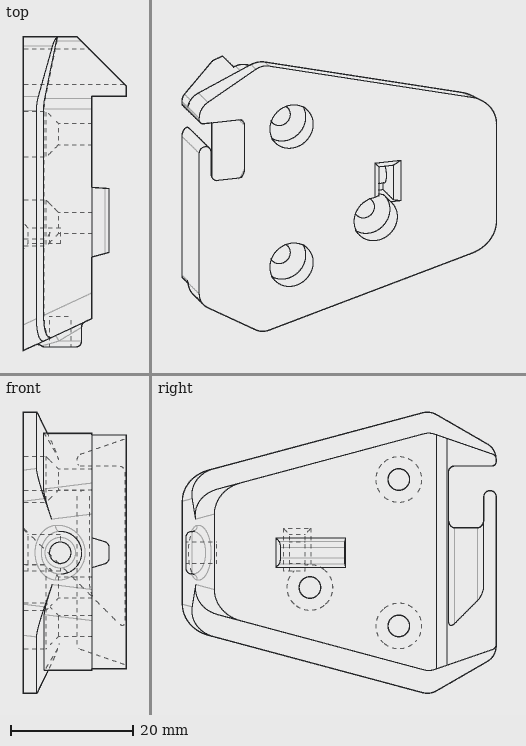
import cadquery as cq
import math


LENGTH = 51.48
TOTAL_THICKNESS = 16.95
BODY_THICKNESS = 11.3
SIDE_ANGLE = 15.0
FRONT_ANGLE = 25.0
FRONT_CORNER_RADIUS = 5.0
SHOULDER_CORNER_RADIUS = 3.0

FLANGE_HALF_HEIGHT = 23.055
FLANGE_SHOULDER_Y = 40.6
FLANGE_REAR_ANGLE = 30.0
FLANGE_REAR_RADIUS = 3.0
FLANGE_EDGE_THICKNESS = 2.2
FLANGE_SLOPE = 19.0

BODY_HALF_HEIGHT = 19.45
BODY_SHOULDER_Y = 40.5
BODY_CENTRE_Z = 0.15
BODY_REAR_ANGLE = 19.0
BODY_REAR_RADIUS = 1.0

HOOK_FRONT_Y = 41.7
HOOK_TIP_LENGTH = 1.7
HOOK_CHAMFER_ANGLE = 45.0

PIN_X = 6.1
PIN_DIAMETER = 7.0
PIN_END_Y = 0.6
PIN_EDGE_RADIUS = 1.0
PIN_BASE_RADIUS = 1.0
PIN_ROOT_Y = 8.0
PIN_BORE_DIAMETER = 3.5
PIN_BORE_DEPTH = 5.0

RIB_FRONT_Y = 15.35
RIB_REAR_Y = 26.8
RIB_HALF_HEIGHT = 2.45
RIB_RISE = 2.8
RIB_SIDE_ANGLE = 17.0
RIB_FRONT_ANGLE = 15.0
RIB_REAR_ANGLE = 4.0
RIB_EDGE_RADIUS = 1.0

SCREW_POSITIONS = [(35.5, 12.0), (35.5, -12.0), (20.93, -5.7)]
SCREW_DIAMETER = 3.5
SCREW_HEAD_DIAMETER = 7.5
SCREW_HEAD_DEPTH = 3.8
SCREW_CONE_ANGLE = 90.0

NOTCH_FRONT_Y = 43.65
NOTCH_BOTTOM_Z = 4.1
NOTCH_TOP_Z = 14.2
NOTCH_FLOOR_ANGLE = 45.0
NOTCH_CORNER_RADIUS = 1.0
NOTCH_LIP_RADIUS = 0.75
FINGER_WIDTH = 2.06
FINGER_TOP_Z = 10.2

SLOT_FRONT_Y = 17.6
SLOT_REAR_Y = 20.1
SLOT_BOTTOM_Z = -3.0
SLOT_TOP_Z = 3.0
SLOT_CHAMFER = 1.0
SLOT_CHAMFER_DEPTH = 0.8
SLOT_DEPTH = PIN_X
SLOT_BAR_DIAMETER = 3.5

CUT_MARGIN = 1.0
PICK_MARGIN = 0.1


def tan_deg(angle):
    return math.tan(math.radians(angle))


def cos_deg(angle):
    return math.cos(math.radians(angle))


def box_between(low, high):
    """Axis-parallel box between two opposite corners."""
    size = [b - a for a, b in zip(low, high)]
    return cq.Workplane("XY").box(*size, centered=False).translate(low)


def sharp_half_height(half_height, rear_angle):
    """Z of the sharp shoulder corner whose rounded top lies at half_height."""
    half_turn = (SIDE_ANGLE + rear_angle) / 2
    centre_drop = SHOULDER_CORNER_RADIUS * cos_deg((rear_angle - SIDE_ANGLE) / 2) / cos_deg(half_turn)
    return half_height + centre_drop - SHOULDER_CORNER_RADIUS


def front_wedge():
    """Material in front of the leaning front face."""
    lean = TOTAL_THICKNESS * tan_deg(FRONT_ANGLE)
    return (
        cq.Workplane("XY")
        .polyline([(0, 0), (TOTAL_THICKNESS, lean), (TOTAL_THICKNESS, -CUT_MARGIN), (0, -CUT_MARGIN)])
        .close()
        .extrude(FLANGE_HALF_HEIGHT + CUT_MARGIN, both=True)
    )


def rounded_prism(shoulder_y, half_height, rear_angle, rear_radius, thickness):
    """Six-sided prism along X with a leaning front face and rounded corners."""
    shoulder_z = sharp_half_height(half_height, rear_angle)
    front_z = shoulder_z - shoulder_y * tan_deg(SIDE_ANGLE)
    rear_z = shoulder_z - (LENGTH - shoulder_y) * tan_deg(rear_angle)
    upper = [(0, front_z), (shoulder_y, shoulder_z), (LENGTH, rear_z)]
    lower = [(y, -z) for y, z in reversed(upper)]
    prism = cq.Workplane("YZ").polyline(upper + lower).close().extrude(thickness)
    prism = prism.edges("|X and >Y").fillet(rear_radius)
    prism = prism.edges("|X and (>Z or <Z)").fillet(SHOULDER_CORNER_RADIUS)
    prism = prism.cut(front_wedge())
    lean = tan_deg(FRONT_ANGLE)
    for side in (1, -1):
        corner_direction = cq.Vector(1, lean, side * lean * tan_deg(SIDE_ANGLE))
        corner = cq.selectors.ParallelDirSelector(corner_direction)
        prism = prism.edges(corner).fillet(FRONT_CORNER_RADIUS)
    return prism


def flange_relief(side):
    """Space above the sloping flange surface that rises from one long side."""
    shoulder_z = sharp_half_height(FLANGE_HALF_HEIGHT, FLANGE_REAR_ANGLE)
    inward = shoulder_z * 2
    top = FLANGE_EDGE_THICKNESS + inward * tan_deg(FLANGE_SLOPE)
    profile = [
        (FLANGE_EDGE_THICKNESS, 0),
        (top, -inward),
        (top, CUT_MARGIN),
        (FLANGE_EDGE_THICKNESS, CUT_MARGIN),
    ]
    relief = (
        cq.Workplane("XZ")
        .polyline(profile)
        .close()
        .extrude(2 * LENGTH, both=True)
        .rotate((0, 0, 0), (1, 0, 0), SIDE_ANGLE)
        .translate((0, FLANGE_SHOULDER_Y, shoulder_z))
    )
    return relief if side > 0 else relief.mirror("XY")


def flange():
    prism = rounded_prism(
        FLANGE_SHOULDER_Y, FLANGE_HALF_HEIGHT, FLANGE_REAR_ANGLE, FLANGE_REAR_RADIUS, BODY_THICKNESS
    )
    return prism.cut(flange_relief(1)).cut(flange_relief(-1))


def body_with_hook():
    prism = rounded_prism(
        BODY_SHOULDER_Y, BODY_HALF_HEIGHT, BODY_REAR_ANGLE, BODY_REAR_RADIUS, TOTAL_THICKNESS
    ).translate((0, 0, BODY_CENTRE_Z))
    above_body = box_between(
        (BODY_THICKNESS, 0, -FLANGE_HALF_HEIGHT),
        (TOTAL_THICKNESS, HOOK_FRONT_Y, FLANGE_HALF_HEIGHT),
    )
    return prism.cut(above_body)


def hook_chamfer():
    """Material behind the slope that runs from the hook tip to the rear edge."""
    start_y = HOOK_FRONT_Y + HOOK_TIP_LENGTH
    drop = (LENGTH - start_y) * tan_deg(HOOK_CHAMFER_ANGLE)
    return (
        cq.Workplane("XY")
        .polyline([
            (TOTAL_THICKNESS, start_y),
            (TOTAL_THICKNESS, LENGTH),
            (TOTAL_THICKNESS - drop, LENGTH),
        ])
        .close()
        .extrude(FLANGE_HALF_HEIGHT, both=True)
    )


def add_pin(part):
    pin = (
        cq.Workplane("XZ", origin=(PIN_X, PIN_ROOT_Y, 0))
        .circle(PIN_DIAMETER / 2)
        .extrude(PIN_ROOT_Y - PIN_END_Y)
        .faces("<Y")
        .edges()
        .fillet(PIN_EDGE_RADIUS)
    )
    part = part.union(pin)
    reach = PIN_DIAMETER / 2 + PICK_MARGIN
    pin_edges = cq.selectors.BoxSelector(
        (PIN_X - reach, PIN_END_Y + PICK_MARGIN, -reach),
        (PIN_X + reach, PIN_ROOT_Y, reach),
        boundingbox=True,
    )
    part = part.edges(pin_edges).fillet(PIN_BASE_RADIUS)
    bore = (
        cq.Workplane("XZ", origin=(PIN_X, PIN_END_Y + PIN_BORE_DEPTH, 0))
        .circle(PIN_BORE_DIAMETER / 2)
        .extrude(PIN_BORE_DEPTH)
    )
    return part.cut(bore)


def rib():
    side_inset = RIB_RISE * tan_deg(RIB_SIDE_ANGLE)
    front_inset = RIB_RISE * tan_deg(RIB_FRONT_ANGLE)
    rear_inset = RIB_RISE * tan_deg(RIB_REAR_ANGLE)
    top_x = BODY_THICKNESS + RIB_RISE
    cross_section = (
        cq.Workplane("XZ", origin=(0, RIB_REAR_Y, 0))
        .polyline([
            (BODY_THICKNESS, -RIB_HALF_HEIGHT),
            (top_x, side_inset - RIB_HALF_HEIGHT),
            (top_x, RIB_HALF_HEIGHT - side_inset),
            (BODY_THICKNESS, RIB_HALF_HEIGHT),
        ])
        .close()
        .extrude(RIB_REAR_Y - RIB_FRONT_Y)
        .edges("|Y and >X")
        .fillet(RIB_EDGE_RADIUS)
    )
    side_outline = (
        cq.Workplane("XY")
        .polyline([
            (BODY_THICKNESS, RIB_FRONT_Y),
            (top_x, RIB_FRONT_Y + front_inset),
            (top_x, RIB_REAR_Y - rear_inset),
            (BODY_THICKNESS, RIB_REAR_Y),
        ])
        .close()
        .extrude(RIB_HALF_HEIGHT, both=True)
    )
    return cross_section.intersect(side_outline)


def screw_hole(y, z):
    """Through hole with a cylindrical head recess that ends in a cone."""
    shank_radius = SCREW_DIAMETER / 2
    head_radius = SCREW_HEAD_DIAMETER / 2
    cone_end = SCREW_HEAD_DEPTH + (head_radius - shank_radius) / tan_deg(SCREW_CONE_ANGLE / 2)
    return (
        cq.Workplane("XY")
        .polyline([
            (0, 0),
            (0, head_radius),
            (SCREW_HEAD_DEPTH, head_radius),
            (cone_end, shank_radius),
            (BODY_THICKNESS, shank_radius),
            (BODY_THICKNESS, 0),
        ])
        .close()
        .revolve(360, (0, 0, 0), (1, 0, 0))
        .translate((0, y, z))
    )


def notch():
    """L-shaped opening through the rear edge that leaves a rounded finger."""
    finger_y = LENGTH - FINGER_WIDTH
    floor_drop = TOTAL_THICKNESS * tan_deg(NOTCH_FLOOR_ANGLE)
    floor_direction = cq.selectors.ParallelDirSelector(cq.Vector(TOTAL_THICKNESS, 0, -floor_drop))
    pocket = (
        cq.Workplane("XZ", origin=(0, finger_y, 0))
        .polyline([
            (0, NOTCH_BOTTOM_Z),
            (TOTAL_THICKNESS, NOTCH_BOTTOM_Z - floor_drop),
            (TOTAL_THICKNESS, NOTCH_TOP_Z),
            (0, NOTCH_TOP_Z),
        ])
        .close()
        .extrude(finger_y - NOTCH_FRONT_Y)
    )
    pocket = pocket.edges(floor_direction).fillet(NOTCH_CORNER_RADIUS)
    pocket = pocket.edges("|X and <Y and >Z").fillet(NOTCH_CORNER_RADIUS)
    finger_radius = FINGER_WIDTH / 2
    finger_round_z = FINGER_TOP_Z - finger_radius
    mouth = box_between((0, finger_y, finger_round_z), (TOTAL_THICKNESS, LENGTH, NOTCH_TOP_Z))
    finger_tip = (
        cq.Workplane("YZ", origin=(0, LENGTH - finger_radius, finger_round_z))
        .circle(finger_radius)
        .extrude(TOTAL_THICKNESS)
    )
    lip_corner = (LENGTH - NOTCH_LIP_RADIUS, NOTCH_TOP_Z + NOTCH_LIP_RADIUS)
    lip = box_between(
        (0, lip_corner[0], NOTCH_TOP_Z), (TOTAL_THICKNESS, LENGTH, lip_corner[1])
    )
    lip_round = (
        cq.Workplane("YZ", origin=(0, *lip_corner)).circle(NOTCH_LIP_RADIUS).extrude(TOTAL_THICKNESS)
    )
    return pocket.union(mouth.cut(finger_tip)).union(lip.cut(lip_round))


def slot():
    """Slot with a flared mouth on three sides, less the bar left on its floor."""
    opening = box_between((0, SLOT_FRONT_Y, SLOT_BOTTOM_Z), (SLOT_DEPTH, SLOT_REAR_Y, SLOT_TOP_Z))
    mouth_width = SLOT_REAR_Y - SLOT_FRONT_Y + 2 * SLOT_CHAMFER
    mouth_height = SLOT_TOP_Z - SLOT_BOTTOM_Z + SLOT_CHAMFER
    throat_height = SLOT_TOP_Z - SLOT_BOTTOM_Z
    middle_y = (SLOT_FRONT_Y + SLOT_REAR_Y) / 2
    flare = (
        cq.Workplane("YZ", origin=(0, middle_y, SLOT_BOTTOM_Z))
        .center(0, mouth_height / 2)
        .rect(mouth_width, mouth_height)
        .workplane(offset=SLOT_CHAMFER_DEPTH)
        .center(0, (throat_height - mouth_height) / 2)
        .rect(SLOT_REAR_Y - SLOT_FRONT_Y, throat_height)
        .loft(ruled=True)
    )
    bar = (
        cq.Workplane("XZ", origin=(SLOT_DEPTH, SLOT_REAR_Y, 0))
        .circle(SLOT_BAR_DIAMETER / 2)
        .extrude(SLOT_REAR_Y - SLOT_FRONT_Y)
    )
    return opening.union(flare).cut(bar)


result = flange().union(body_with_hook()).cut(hook_chamfer())
result = add_pin(result)
result = result.union(rib())
for screw_y, screw_z in SCREW_POSITIONS:
    result = result.cut(screw_hole(screw_y, screw_z))
result = result.cut(notch()).cut(slot())